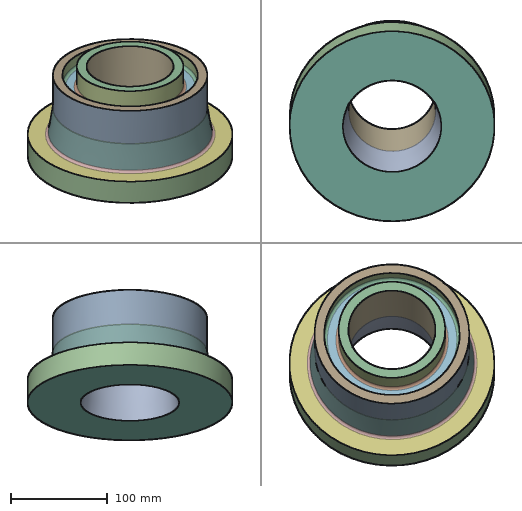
import cadquery as cq

total_height = 104.0
flange_height = 25.0
cone_top = 55.8
rim_top = 94.0
groove_floor = 80.4
flare_top = 43.0

flange_radius = 106.0
cone_base_radius = 85.3
rim_radius = 80.0
groove_outer_radius = 70.0
hub_radius = 55.1
bore_radius = 45.0
flare_base_radius = 51.0

groove_fillet = 3.0
neck_fillet = 3.0


def revolved_body():
    """Flange, tapered neck, rim and hub, with the ring groove between rim and hub."""
    profile = (
        cq.Workplane("XZ")
        .lineTo(flange_radius, 0)
        .lineTo(flange_radius, flange_height)
        .lineTo(cone_base_radius, flange_height)
        .lineTo(rim_radius, cone_top)
        .lineTo(rim_radius, rim_top)
        .lineTo(groove_outer_radius, rim_top)
        .lineTo(groove_outer_radius, groove_floor)
        .lineTo(hub_radius, groove_floor)
        .lineTo(hub_radius, total_height)
        .lineTo(0, total_height)
        .close()
    )
    return profile.revolve(360, (0, 0, 0), (0, 1, 0))


def circle_edges(body, radius, level):
    """Select the circular edge of the given radius at the given height."""
    tolerance = 0.02
    return body.edges("%CIRCLE").filter(
        lambda edge: abs(edge.radius() - radius) < tolerance
        and abs(edge.Center().z - level) < tolerance
    )


body = revolved_body()
body = circle_edges(body, cone_base_radius, flange_height).fillet(neck_fillet)
for wall_radius in (groove_outer_radius, hub_radius):
    body = circle_edges(body, wall_radius, groove_floor).fillet(groove_fillet)

body = circle_edges(body, rim_radius, cone_top).fillet(neck_fillet)

bore = cq.Workplane("XY").circle(bore_radius).extrude(total_height)
flare = cq.Solid.makeCone(flare_base_radius, bore_radius, flare_top)

result = body.cut(bore).cut(cq.Workplane(flare))